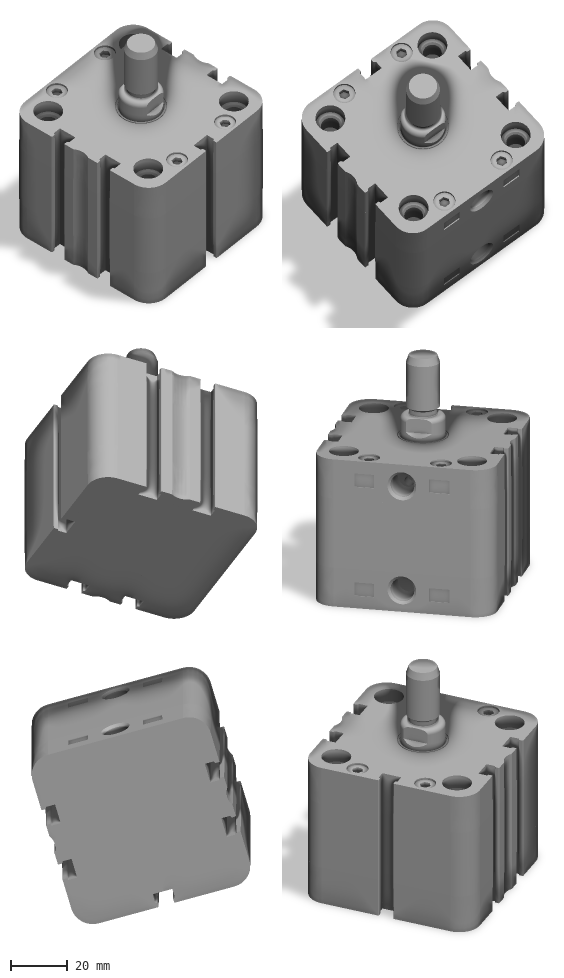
import cadquery as cq
import math

SIDE = 65.5
CORNER_RADIUS = 8.0
CAP_HEIGHT = 14.5
HOUSING_HEIGHT = 55.0
BARREL_HEIGHT = HOUSING_HEIGHT - 2 * CAP_HEIGHT
TOP_SEAM_Z = HOUSING_HEIGHT - CAP_HEIGHT
CAP_DRAFT = 0.5

SLOT_OFFSET = 10.5
SLOT_MOUTH_WIDTH = 5.4
SLOT_INNER_WIDTH = 7.0
SLOT_DEPTH = 5.2
SLOT_NECK_DEPTH = 1.7
SLOT_NECK_CHAMFER = 0.4
SLOT_LIP_CHAMFER = 0.25

SCALLOP_WIDTH = 6.8
SCALLOP_DEPTH = 1.0

MOUNT_OFFSET = 23.2
COUNTERBORE_DIAMETER = 10.5
COUNTERBORE_DEPTH = 5.0
THREAD_DIAMETER = 8.0
THREAD_CORE_DIAMETER = 6.6
THREAD_DEPTH = 7.65

SCREW_OFFSET_X = 27.9
SCREW_OFFSET_Y = 13.0
SCREW_RECESS_DIAMETER = 7.7
SCREW_HEAD_DIAMETER = 7.5
SCREW_HEAD_DEPTH = 0.7
SCREW_RING_DEPTH = 1.0
HEX_ACROSS_FLATS = 3.5
HEX_DEPTH = 2.55

PORT_DISTANCE = 8.0
PORT_DIAMETER = 8.6
PORT_MOUTH_DIAMETER = 10.5
PORT_DEPTH = 11.9
PORT_FLOOR_RADIUS = 25.0
AIR_HOLE_DIAMETER = 3.5
AIR_HOLE_DROP = 2.0
AIR_HOLE_DEPTH = 5.1

LABEL_LENGTH = 7.1
LABEL_HEIGHT = 5.0
LABEL_OFFSET = 13.6
LABEL_DISTANCE = 7.1
LABEL_DEPTH = 0.4

SEAL_MOUTH_DIAMETER = 18.4
SEAL_OUTER_DIAMETER = 17.7
SEAL_INNER_DIAMETER = 16.6
SEAL_DEPTH = 0.3

ROD_DIAMETER = 16.0
ROD_TOP_Z = 85.0
SHOULDER_Z = 63.1
SHOULDER_FILLET = 1.7
FLATS_WIDTH = 13.0
FLATS_BOTTOM_Z = 57.8
ROD_THREAD_DIAMETER = 12.0
ROD_THREAD_BOTTOM_Z = 65.9
RELIEF_DIAMETER = 10.0
RELIEF_TOP_Z = 65.1
RELIEF_FLARE = 0.25
TIP_CHAMFER_HEIGHT = 2.6


def slot_outline():
    """Closed inverted-T outline of a slot that opens towards +Y, with the wall at y = 0."""
    mouth = SLOT_MOUTH_WIDTH / 2
    inner = SLOT_INNER_WIDTH / 2
    lip = mouth + SLOT_LIP_CHAMFER
    half = [
        (lip, SLOT_DEPTH),
        (lip, 0),
        (mouth, -SLOT_LIP_CHAMFER),
        (mouth, -SLOT_NECK_DEPTH),
        (inner, -SLOT_NECK_DEPTH - SLOT_NECK_CHAMFER),
        (inner, -SLOT_DEPTH),
    ]
    mirrored = [(-x, y) for x, y in reversed(half)]
    return half + mirrored + half[:1]


def on_side(offset, turn):
    """Place on the +Y side at x = offset, turned about Z by turn degrees."""
    to_wall = cq.Location(cq.Vector(offset, SIDE / 2, 0))
    return cq.Location(cq.Vector(), cq.Vector(0, 0, 1), turn) * to_wall


def housing_section():
    """Rounded square with slots in pairs on the -Y and +Y sides, a scallop between each pair,
    and one slot on the +X side."""
    slots = [on_side(offset, turn) for offset in (-SLOT_OFFSET, SLOT_OFFSET) for turn in (0, 180)]
    slots.append(on_side(0, -90))
    scallop_radius = (SCALLOP_WIDTH**2 / 4 + SCALLOP_DEPTH**2) / (2 * SCALLOP_DEPTH)
    scallop_y = SIDE / 2 - SCALLOP_DEPTH + scallop_radius
    square = cq.Sketch().rect(SIDE, SIDE).vertices().fillet(CORNER_RADIUS).reset()
    slotted = square.push(slots).polygon(slot_outline(), mode="s").reset()
    return slotted.push([(0, -scallop_y), (0, scallop_y)]).circle(scallop_radius, mode="s").reset()


def housing_block(height, draft=0.0):
    """Housing section standing on z = 0, all its walls leaning inwards by the draft angle."""
    return cq.Workplane("XY").placeSketch(housing_section()).extrude(height, taper=draft)


def mounting_hole():
    """Revolved cutter for a counterbored, countersunk blind hole going down from z = 0."""
    bore = COUNTERBORE_DIAMETER / 2
    thread = THREAD_DIAMETER / 2
    core = THREAD_CORE_DIAMETER / 2
    sink_z = -COUNTERBORE_DEPTH - (thread - core)
    bottom_z = -COUNTERBORE_DEPTH - THREAD_DEPTH
    outline = [
        (0, 0),
        (bore, 0),
        (bore, -COUNTERBORE_DEPTH),
        (thread, -COUNTERBORE_DEPTH),
        (core, sink_z),
        (core, bottom_z),
        (0, bottom_z),
    ]
    return cq.Workplane("XZ").polyline(outline).close().revolve()


def screw_mark():
    """Cutter from z = 0 down that leaves a sunk screw head with a ring gap and a hexagon socket."""
    face = cq.Workplane("XY")
    recess = face.circle(SCREW_RECESS_DIAMETER / 2).extrude(-SCREW_RING_DEPTH)
    head = (
        face.workplane(offset=-SCREW_HEAD_DEPTH)
        .circle(SCREW_HEAD_DIAMETER / 2)
        .extrude(SCREW_HEAD_DEPTH - SCREW_RING_DEPTH)
    )
    across_corners = HEX_ACROSS_FLATS / math.cos(math.pi / 6)
    socket = face.polygon(6, across_corners).extrude(-HEX_DEPTH).rotate((0, 0, 0), (0, 0, 1), 30)
    return recess.cut(head).union(socket)


def port_cutter(z):
    """Blind port with a chamfered mouth and a concave floor, in the -X side at height z."""
    bore = PORT_DIAMETER / 2
    mouth = PORT_MOUTH_DIAMETER / 2
    outline = [(0, 0), (0, mouth), (mouth - bore, bore), (PORT_DEPTH, bore), (PORT_DEPTH, 0)]
    port = cq.Workplane("XY").polyline(outline).close().revolve(360, (0, 0), (1, 0))
    dome = (
        cq.Workplane("XZ")
        .center(PORT_DEPTH - PORT_FLOOR_RADIUS, 0)
        .circle(PORT_FLOOR_RADIUS)
        .extrude(PORT_DIAMETER, both=True)
    )
    return port.intersect(dome).translate((-SIDE / 2, 0, z))


def label_cutter(y, z):
    """Shallow rectangular recess in the -X side, centred at (y, z)."""
    field = cq.Workplane("XY").box(2 * LABEL_DEPTH, LABEL_LENGTH, LABEL_HEIGHT)
    return field.translate((-SIDE / 2, y, z))


def cut_port_side(cap, port_z, label_z):
    """Port and the two label fields beside it, in the -X side of a cap."""
    cap = cap.cut(port_cutter(port_z))
    for y in (-LABEL_OFFSET, LABEL_OFFSET):
        cap = cap.cut(label_cutter(y, label_z))
    return cap


def corner_points(x, y):
    """The four points (+-x, +-y)."""
    return [(sx * x, sy * y) for sx in (-1, 1) for sy in (-1, 1)]


def make_bottom_cap():
    cap = housing_block(CAP_HEIGHT, CAP_DRAFT)
    cap = cap.rotate((0, 0, 0), (1, 0, 0), 180).translate((0, 0, CAP_HEIGHT))
    return cut_port_side(cap, PORT_DISTANCE, LABEL_DISTANCE)


def make_barrel():
    return housing_block(BARREL_HEIGHT).translate((0, 0, CAP_HEIGHT))


def cut_rod_opening(cap):
    """Hole for the rod, with the ring lines of its wiper seal in the top face."""
    face = cq.Workplane("XY", origin=(0, 0, HOUSING_HEIGHT))
    cap = cap.cut(face.circle(ROD_DIAMETER / 2).extrude(-CAP_HEIGHT))
    cap = cap.cut(face.circle(SEAL_INNER_DIAMETER / 2).extrude(-SEAL_DEPTH))
    gap = face.circle(SEAL_MOUTH_DIAMETER / 2).circle(SEAL_OUTER_DIAMETER / 2)
    return cap.cut(gap.extrude(-SEAL_DEPTH))


def make_top_cap():
    cap = housing_block(CAP_HEIGHT, CAP_DRAFT).translate((0, 0, TOP_SEAM_Z))
    cap = cut_port_side(cap, HOUSING_HEIGHT - PORT_DISTANCE, HOUSING_HEIGHT - LABEL_DISTANCE)
    for x, y in corner_points(MOUNT_OFFSET, MOUNT_OFFSET):
        cap = cap.cut(mounting_hole().translate((x, y, HOUSING_HEIGHT)))
    for x, y in corner_points(SCREW_OFFSET_X, SCREW_OFFSET_Y):
        cap = cap.cut(screw_mark().translate((x, y, HOUSING_HEIGHT)))
    air_hole = (
        cq.Workplane("YZ", origin=(-SIDE / 2, 0, HOUSING_HEIGHT - PORT_DISTANCE - AIR_HOLE_DROP))
        .circle(AIR_HOLE_DIAMETER / 2)
        .extrude(PORT_DEPTH + AIR_HOLE_DEPTH)
    )
    return cut_rod_opening(cap.cut(air_hole))


def cut_wrench_flats(rod):
    """Two flats facing -X and +X, each running out downwards in a 45 degree slope."""
    flat = FLATS_WIDTH / 2
    run_out = ROD_DIAMETER / 2 - flat + 0.85
    outline = [
        (flat, SHOULDER_Z),
        (flat, FLATS_BOTTOM_Z),
        (flat + run_out, FLATS_BOTTOM_Z - run_out),
        (flat + run_out, SHOULDER_Z),
    ]
    cutter = cq.Workplane("XZ").polyline(outline).close().extrude(ROD_DIAMETER, both=True)
    return rod.cut(cutter).cut(cutter.mirror("YZ"))


def make_rod():
    """Rod standing on the barrel, with a rounded shoulder, thread relief and threaded end."""
    rod = ROD_DIAMETER / 2
    thread = ROD_THREAD_DIAMETER / 2
    relief = RELIEF_DIAMETER / 2
    body = (
        cq.Workplane("XZ")
        .moveTo(0, TOP_SEAM_Z)
        .lineTo(rod, TOP_SEAM_Z)
        .lineTo(rod, SHOULDER_Z - SHOULDER_FILLET)
        .radiusArc((rod - SHOULDER_FILLET, SHOULDER_Z), -SHOULDER_FILLET)
        .lineTo(relief + RELIEF_FLARE, SHOULDER_Z)
        .lineTo(relief, SHOULDER_Z + RELIEF_FLARE)
        .lineTo(relief, RELIEF_TOP_Z)
        .lineTo(thread, ROD_THREAD_BOTTOM_Z)
        .lineTo(thread, ROD_TOP_Z - TIP_CHAMFER_HEIGHT)
        .lineTo(relief, ROD_TOP_Z)
        .lineTo(0, ROD_TOP_Z)
        .close()
        .revolve(360, (0, 0), (0, 1))
    )
    return cut_wrench_flats(body)


bottom_cap = make_bottom_cap()
barrel = make_barrel()
top_cap = make_top_cap()
rod = make_rod()

result = cq.Compound.makeCompound([bottom_cap.val(), barrel.val(), top_cap.val(), rod.val()])